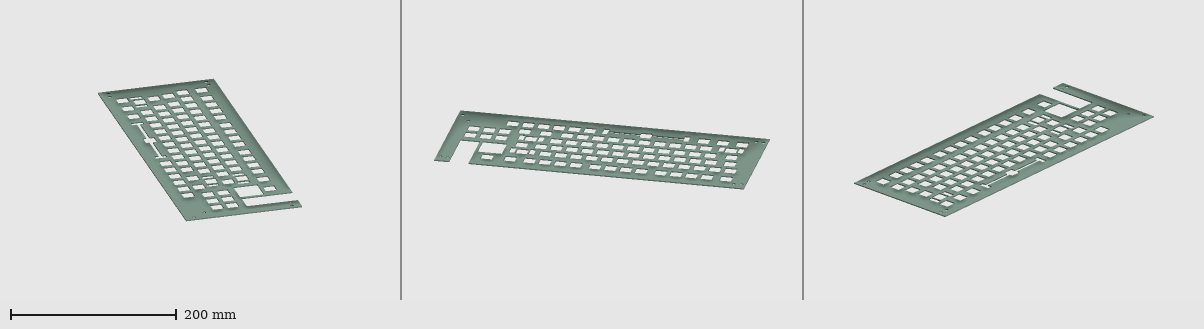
import cadquery as cq

plate_length = 382.0
plate_width = 145.5
plate_thickness = 1.5

first_to_last_number_key = 228.5
pitch = first_to_last_number_key / 12
quarter_key = pitch / 4
switch_size = 14.0
grid_left = -173.8
number_row_y = 26.0
function_row_y = number_row_y + 5 * quarter_key

stabilizer_width = 7.0
stabilizer_height = 15.0
stabilizer_drop = 1.5
wide_key_spread = 24.0
space_bar_spread = 100.0
wire_slot_height = 4.2
wire_slot_drop = 0.8

extra_key_x = 130.5
block_left_x = 126.0
block_top_y = -7.3
block_columns = 3
block_rows = 2

window_size = 30.0
window_x = 130.2
window_y = 23.3
notch_left = 148.5
notch_right = 172.5
notch_bottom = 8.8

hole_diameter = 4.5
corner_hole_x = 185.5
corner_hole_y = 61.5
inner_hole_x = 176.5
inner_hole_y = 62.3
raised_hole_x = 175.5
raised_hole_y = -45.5

unit = 4
gap = -1
four_keys = [unit] * 4
function_row = [unit, gap] + four_keys + [gap] + four_keys + [gap] + four_keys + [gap, unit]
number_row = [unit] * 13 + [8]
tab_row = [6] + [unit] * 12 + [6]
caps_row = [7] + [unit] * 11 + [9]
shift_row = [9] + [unit] * 10 + [7, unit]
space_bar = 25
bottom_row = [5, 5, 5, space_bar] + [unit] * 6
narrowest_stabilized_key = 8


def opening(x, y, width, height):
    """Rectangular cutter through the plate, centred at (x, y)."""
    return cq.Workplane("XY").box(width, height, 2 * plate_thickness).translate((x, y, 0))


def switch_opening(x, y):
    return opening(x, y, switch_size, switch_size)


def stabilizer_openings(x, y, spread):
    """Pair of upright slots on both sides of a wide key."""
    return [
        opening(x + side * spread / 2, y - stabilizer_drop, stabilizer_width, stabilizer_height)
        for side in (-1, 1)
    ]


def key_openings(x, y, width):
    """Switch opening of one key, with stabilizers where the key is wide."""
    cutters = [switch_opening(x, y)]
    if width == space_bar:
        cutters += stabilizer_openings(x, y, space_bar_spread)
        cutters.append(opening(x, y - wire_slot_drop, space_bar_spread, wire_slot_height))
    elif width >= narrowest_stabilized_key:
        cutters += stabilizer_openings(x, y, wide_key_spread)
    return cutters


def row_openings(widths, y):
    """Openings for a row of keys laid side by side from the left of the grid."""
    cutters = []
    left = grid_left
    for width in widths:
        span = abs(width) * quarter_key
        if width > 0:
            cutters += key_openings(left + span / 2, y, width)
        left += span
    return cutters


def block_openings():
    """Switch openings of the rectangular block at the right."""
    return [
        switch_opening(block_left_x + column * pitch, block_top_y - row * pitch)
        for column in range(block_columns)
        for row in range(block_rows)
    ]


def notch():
    """Cutter for the notch, reaching past the rear edge so that it is open there."""
    width = notch_right - notch_left
    depth = plate_width - notch_bottom
    return opening(notch_left + width / 2, notch_bottom + depth / 2, width, depth)


def screw_hole(x, y):
    return cq.Workplane("XY").center(x, y).circle(hole_diameter / 2).extrude(plate_thickness, both=True)


cutters = row_openings(function_row, function_row_y)
for index, key_row in enumerate([number_row, tab_row, caps_row, shift_row, bottom_row]):
    cutters += row_openings(key_row, number_row_y - index * pitch)

cutters.append(switch_opening(extra_key_x, function_row_y))
cutters += block_openings()
cutters.append(opening(window_x, window_y, window_size, window_size))
cutters.append(notch())

hole_centres = [(side * corner_hole_x, end * corner_hole_y) for side in (-1, 1) for end in (-1, 1)]
hole_centres += [
    (-inner_hole_x, -inner_hole_y),
    (-inner_hole_x, inner_hole_y),
    (inner_hole_x, inner_hole_y),
    (raised_hole_x, raised_hole_y),
]
cutters += [screw_hole(x, y) for x, y in hole_centres]

plate = cq.Workplane("XY").box(plate_length, plate_width, plate_thickness)
pierced_plate = plate.val().cut(*[cutter.val() for cutter in cutters])
result = cq.Workplane(pierced_plate.Solids()[0])